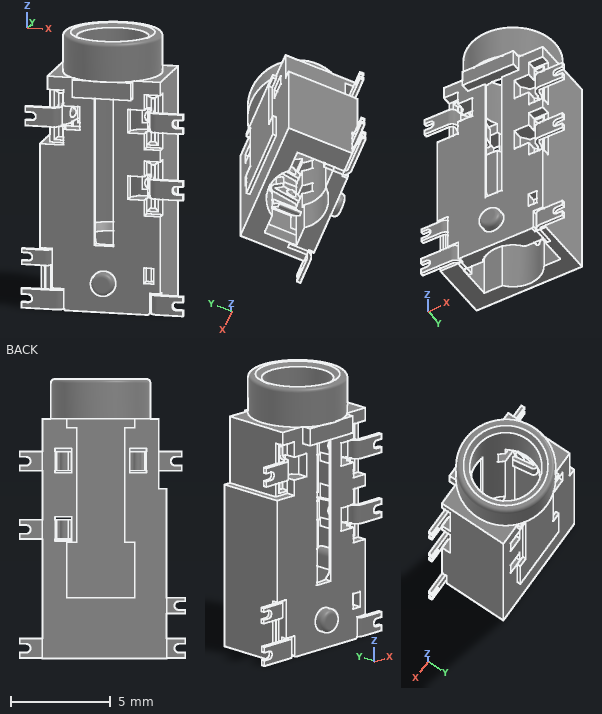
import cadquery as cq


TOTAL_HEIGHT = 14.0
BODY_TOP = 12.0
SIDE_X = 2.91
WIDE_LEFT_X = 3.3
FACE_Y = 1.88
PAD_Y = 2.4
PAD_HALF_WIDTH = 1.5
PAD_BOTTOM = 11.1
PEG_Z = 1.53
PEG_RADIUS = 0.62
PEG_ROUNDING = 0.22

SLEEVE_RADIUS = 5.0 / 2
SLEEVE_ROUNDING = 0.2
BORE_RADIUS = 1.8
MOUTH_RADIUS = 2.11
MOUTH_DEPTH = 0.2
EXIT_RADIUS = 1.55
TAPER_TOP = 3.84
SLOT_HALF_WIDTH = 0.49
SLOT_BOTTOM = 3.43

PLATE_Y = 2.06
PLATE_HALF_WIDTH = 1.7
PLATE_WAIST_HALF_WIDTH = 1.2
PLATE_BOTTOM = 3.05
WAIST_BOTTOM = 5.84
WAIST_TOP = 11.56

CHANNEL_X = 2.28
CHANNEL_TOP = 11.12
LEFT_CHANNEL_Y = (-1.05, 0.97)
RIGHT_CHANNEL_Y = (-0.91, 0.83)

SHEET = 0.2
BEND_RADIUS = 0.39
NOTCH_WIDTH = 0.42
NOTCH_DEPTH = 0.55

LEFT, RIGHT = -1, 1
UPPER_RING_Z = 9.88
LOWER_RING_Z = 6.47
RING_TERMINALS = [
    (RIGHT, UPPER_RING_Z, 0.18),
    (RIGHT, LOWER_RING_Z, 0.18),
    (LEFT, UPPER_RING_Z, -0.56),
]
RING_TIP_X = 4.06
RING_LEAF_X = CHANNEL_X
RING_TAIL_HEIGHT = 0.98
RING_LEAF_HEIGHT = 2.23
RING_LEAF_FRONT_Y = -1.25
RING_LEAF_BACK_Y = 0.7
RING_SHOULDER_FILLET = 0.21
ARM_KNEE = (2.11, -0.84)
ARM_FOLD_X = (1.95, 1.72)
ARM_FOLD_Y = 0.42
LIP_TIP_X = 1.57
DIMPLE_CENTRE = (2.06, -0.48)
DIMPLE_RADIUS = 0.28

RECESS_INNER_X = 2.09
OPENING_RAISE = 0.03
RECESS_HEIGHT = 2.81
RECESS_DEPTH = 0.5
FUNNEL_OUTER_X = 2.67
FUNNEL_HEIGHT = 2.56
FUNNEL_DEPTH = 0.17
WINDOW_HEIGHT = 1.2
WINDOW_INNER_X = 1.23
BACK_WINDOW_INNER_X = 1.45

WIDE_TOP = UPPER_RING_Z + OPENING_RAISE - RECESS_HEIGHT / 2

LOWER_LEFT_TIP_X = 4.24
LOWER_POCKET_DEPTH = 0.3
LOWER_POCKET_TOP = 1.12
POCKET_CHAMFER = 0.08
BOTTOM_LEAF_BACK_Y = -0.56
BOTTOM_TAIL_Z = (0.03, 1.02)
BOTTOM_LEFT_LEAF_X = 2.07
BOTTOM_LEFT_STEP = 0.04
BOTTOM_RIGHT_LEAF_X = 2.35
SWITCH_LEAF_X = 2.67
SWITCH_TAIL_Z = (2.25, 3.05)
SWITCH_POCKET_TOP = 3.15
SWITCH_GROOVE_OUTER_X = 3.12
SWITCH_GROOVE_DEPTH = 0.5
SWITCH_GROOVE_BOTTOM = 0.84

TIP_WIDTH_Y = (-0.63, 0.56)
TIP_LEAF_X = 2.42
TIP_LEAF_BOTTOM = 1.62
TIP_FOLD_X = 1.89
TIP_FOLD_Z = 3.99
TIP_KNEE_Z = 3.39
TIP_END_X = 1.12
TIP_END_Z = 1.4
TIP_WINDOW_X = (2.06, 2.56)
TIP_WINDOW_Z = (1.61, 2.41)
TIP_WINDOW_DEPTH = 0.5


def box(x_range, y_range, z_range):
    """Block between the given limits on each axis."""
    lows, highs = zip(*(sorted(r) for r in (x_range, y_range, z_range)))
    sizes = [high - low for low, high in zip(lows, highs)]
    return cq.Workplane("XY").box(*sizes, centered=False).translate(lows)


def on_side(body, side):
    """Keep a right-hand body, or mirror it to the left."""
    return body if side == RIGHT else body.mirror("YZ")


def around(centre, height):
    return (centre - height / 2, centre + height / 2)


def bent_blade(tip_x, leaf_x, z_range, back_y, front_y=-FACE_Y):
    """Notched solder tail along X, bent back along Y into the housing (right-hand)."""
    bottom, top = z_range
    blade = (
        cq.Workplane("XY")
        .moveTo(tip_x, front_y)
        .lineTo(leaf_x + BEND_RADIUS, front_y)
        .radiusArc((leaf_x, front_y + BEND_RADIUS), BEND_RADIUS)
        .lineTo(leaf_x, back_y)
        .lineTo(leaf_x + SHEET, back_y)
        .lineTo(leaf_x + SHEET, front_y + BEND_RADIUS)
        .radiusArc((leaf_x + BEND_RADIUS, front_y + SHEET), -(BEND_RADIUS - SHEET))
        .lineTo(tip_x, front_y + SHEET)
        .close()
        .extrude(top - bottom)
        .translate((0, 0, bottom))
    )
    notch = (
        cq.Workplane("XZ")
        .center(tip_x, (bottom + top) / 2)
        .slot2D(2 * NOTCH_DEPTH, NOTCH_WIDTH)
        .extrude(2 * FACE_Y, both=True)
    )
    return blade.cut(notch)


def ring_terminal(side, z, lip_end_y):
    """Tail, upright leaf, and an arm along the bore with a contact dimple and a folded lip."""
    tail_z = around(z, RING_TAIL_HEIGHT)
    blade = bent_blade(RING_TIP_X, RING_LEAF_X, tail_z, RING_LEAF_BACK_Y)
    leaf_x = (RING_LEAF_X, RING_LEAF_X + SHEET)
    leaf_y = (RING_LEAF_FRONT_Y, RING_LEAF_BACK_Y)
    leaf = box(leaf_x, leaf_y, around(z, RING_LEAF_HEIGHT))
    shoulder_corners = cq.selectors.BoxSelector(
        (leaf_x[0] - SHEET, leaf_y[0] - SHEET / 2, tail_z[0] - SHEET),
        (leaf_x[1] + SHEET, leaf_y[0] + SHEET / 2, tail_z[1] + SHEET),
    )
    plate = blade.union(leaf).edges("|X").edges(shoulder_corners).fillet(RING_SHOULDER_FILLET)
    fold_start_x, fold_end_x = ARM_FOLD_X
    arm = (
        cq.Workplane("XY")
        .moveTo(RING_LEAF_X + SHEET / 2, RING_LEAF_FRONT_Y)
        .lineTo(*ARM_KNEE)
        .lineTo(fold_start_x, ARM_FOLD_Y)
        .radiusArc((fold_end_x, ARM_FOLD_Y), -(fold_start_x - fold_end_x) / 2)
        .lineTo(LIP_TIP_X, lip_end_y)
        .wire()
        .offset2D(SHEET / 2)
        .extrude(RING_TAIL_HEIGHT)
        .translate((0, 0, tail_z[0]))
    )
    dimple = cq.Workplane("XY").sphere(DIMPLE_RADIUS).translate((*DIMPLE_CENTRE, z))
    dimple = dimple.intersect(box((0, DIMPLE_CENTRE[0]), (-FACE_Y, FACE_Y), tail_z))
    return on_side(plate.union(arm).union(dimple), side)


def bottom_left_terminal():
    front_y = -FACE_Y - BOTTOM_LEFT_STEP
    blade = bent_blade(
        LOWER_LEFT_TIP_X, BOTTOM_LEFT_LEAF_X, BOTTOM_TAIL_Z, BOTTOM_LEAF_BACK_Y, front_y
    )
    return on_side(blade, LEFT)


def bottom_right_terminal():
    return bent_blade(RING_TIP_X, BOTTOM_RIGHT_LEAF_X, BOTTOM_TAIL_Z, BOTTOM_LEAF_BACK_Y)


def switch_terminal():
    """Short tail above the bottom left one, with a leaf that runs down its groove."""
    blade = bent_blade(LOWER_LEFT_TIP_X, SWITCH_LEAF_X, SWITCH_TAIL_Z, BOTTOM_LEAF_BACK_Y)
    leaf = box(
        (SWITCH_LEAF_X, SWITCH_LEAF_X + SHEET),
        (SWITCH_GROOVE_DEPTH - FACE_Y, BOTTOM_LEAF_BACK_Y),
        (SWITCH_GROOVE_BOTTOM, SWITCH_TAIL_Z[1]),
    )
    return on_side(blade.union(leaf), LEFT)


def tip_spring():
    """Upright sheet folded over at the top, then leaning down into the bore."""
    spring = (
        cq.Workplane("XZ", origin=(0, TIP_WIDTH_Y[1], 0))
        .moveTo(TIP_LEAF_X, TIP_LEAF_BOTTOM + SHEET / 2)
        .lineTo(TIP_LEAF_X, TIP_FOLD_Z)
        .radiusArc((TIP_FOLD_X, TIP_FOLD_Z), -(TIP_LEAF_X - TIP_FOLD_X) / 2)
        .lineTo(TIP_FOLD_X, TIP_KNEE_Z)
        .lineTo(TIP_END_X, TIP_END_Z)
        .wire()
        .offset2D(SHEET / 2)
        .extrude(TIP_WIDTH_Y[1] - TIP_WIDTH_Y[0])
    )
    foot = box(
        (TIP_LEAF_X - SHEET / 2, TIP_LEAF_X + SHEET / 2),
        (TIP_WINDOW_DEPTH - FACE_Y, TIP_WIDTH_Y[1]),
        (TIP_LEAF_BOTTOM, TIP_WINDOW_Z[1]),
    )
    return spring.union(foot)


def housing_block():
    """Block, wider lower left part, front pad, back plate, sleeve and peg."""
    depth = (-FACE_Y, FACE_Y)
    block = box((-SIDE_X, SIDE_X), depth, (0, BODY_TOP))
    block = block.union(box((-WIDE_LEFT_X, 0), depth, (0, WIDE_TOP)))
    block = block.union(
        box((-PAD_HALF_WIDTH, PAD_HALF_WIDTH), (-PAD_Y, 0), (PAD_BOTTOM, BODY_TOP))
    )
    plate_parts = [
        (PLATE_HALF_WIDTH, PLATE_BOTTOM, WAIST_BOTTOM),
        (PLATE_WAIST_HALF_WIDTH, WAIST_BOTTOM, WAIST_TOP),
        (PLATE_HALF_WIDTH, WAIST_TOP, BODY_TOP),
    ]
    for half_width, bottom, top in plate_parts:
        block = block.union(box((-half_width, half_width), (0, PLATE_Y), (bottom, top)))
    sleeve = (
        cq.Workplane("XY", origin=(0, 0, BODY_TOP))
        .circle(SLEEVE_RADIUS)
        .extrude(TOTAL_HEIGHT - BODY_TOP)
        .faces(">Z")
        .edges()
        .fillet(SLEEVE_ROUNDING)
    )
    peg = (
        cq.Workplane("XZ", origin=(0, -FACE_Y, PEG_Z))
        .circle(PEG_RADIUS)
        .extrude(PAD_Y - FACE_Y)
        .faces("<Y")
        .edges()
        .fillet(PEG_ROUNDING)
    )
    return block.union(sleeve).union(peg)


def plug_bore():
    """Stepped bore through the full height, with its flared mouth and lower taper."""
    return (
        cq.Workplane("XZ")
        .polyline([
            (0, 0),
            (EXIT_RADIUS, 0),
            (EXIT_RADIUS, SLOT_BOTTOM),
            (BORE_RADIUS, TAPER_TOP),
            (BORE_RADIUS, TOTAL_HEIGHT - MOUTH_DEPTH),
            (MOUTH_RADIUS, TOTAL_HEIGHT),
            (0, TOTAL_HEIGHT),
        ])
        .close()
        .revolve(360, (0, 0, 0), (0, 1, 0))
    )


def ring_opening(side, z):
    """Stepped recess, funnel for the leaf, and the window that the arm passes through."""
    z += OPENING_RAISE
    floor_y = RECESS_DEPTH - FACE_Y
    recess = box((RECESS_INNER_X, SIDE_X), (-FACE_Y, floor_y), around(z, RECESS_HEIGHT))
    leaf_centre = RING_LEAF_X + SHEET / 2
    funnel = (
        cq.Workplane("XZ", origin=(0, floor_y, z))
        .center((RECESS_INNER_X + FUNNEL_OUTER_X) / 2, 0)
        .rect(FUNNEL_OUTER_X - RECESS_INNER_X, FUNNEL_HEIGHT)
        .workplane(offset=-FUNNEL_DEPTH)
        .center(leaf_centre - (RECESS_INNER_X + FUNNEL_OUTER_X) / 2, 0)
        .rect(SHEET, RING_LEAF_HEIGHT)
        .loft(ruled=True)
    )
    window_z = around(z, WINDOW_HEIGHT)
    front_window = box((WINDOW_INNER_X, CHANNEL_X), (-FACE_Y, 0), window_z)
    back_window = box((BACK_WINDOW_INNER_X, CHANNEL_X), (0, FACE_Y), window_z)
    return on_side(recess.union(funnel).union(front_window).union(back_window), side)


def bottom_pocket(side, inner_x, outer_x):
    """Pocket open to the bottom, with a chamfered lower inner corner."""
    pocket = (
        cq.Workplane("XZ", origin=(0, -FACE_Y, 0))
        .polyline([
            (inner_x - POCKET_CHAMFER, 0),
            (inner_x, POCKET_CHAMFER),
            (inner_x, LOWER_POCKET_TOP),
            (outer_x, LOWER_POCKET_TOP),
            (outer_x, 0),
        ])
        .close()
        .extrude(-LOWER_POCKET_DEPTH)
    )
    return on_side(pocket, side)


def switch_pocket():
    """Shallow pocket on the lower left edge with a deeper groove along the leaf."""
    pocket = box(
        (-WIDE_LEFT_X, -SWITCH_LEAF_X),
        (-FACE_Y, LOWER_POCKET_DEPTH - FACE_Y),
        (LOWER_POCKET_TOP, SWITCH_POCKET_TOP),
    )
    groove = box(
        (-SWITCH_GROOVE_OUTER_X, -SWITCH_LEAF_X),
        (-FACE_Y, SWITCH_GROOVE_DEPTH - FACE_Y),
        (SWITCH_GROOVE_BOTTOM, SWITCH_POCKET_TOP),
    )
    return pocket.union(groove)


def make_housing(contacts):
    """Block with all its openings, and a matching seat for every contact."""
    body = housing_block().cut(plug_bore())
    body = body.cut(
        box((-SLOT_HALF_WIDTH, SLOT_HALF_WIDTH), (-FACE_Y, 0), (SLOT_BOTTOM, PAD_BOTTOM))
    )
    body = body.cut(box((-CHANNEL_X, 0), LEFT_CHANNEL_Y, (0, CHANNEL_TOP)))
    body = body.cut(box((0, CHANNEL_X), RIGHT_CHANNEL_Y, (0, CHANNEL_TOP)))
    for side, z, _ in RING_TERMINALS:
        body = body.cut(ring_opening(side, z))
    body = body.cut(bottom_pocket(LEFT, BOTTOM_LEFT_LEAF_X, WIDE_LEFT_X))
    body = body.cut(bottom_pocket(RIGHT, BOTTOM_RIGHT_LEAF_X, SIDE_X))
    body = body.cut(switch_pocket())
    body = body.cut(box(TIP_WINDOW_X, (-FACE_Y, TIP_WINDOW_DEPTH - FACE_Y), TIP_WINDOW_Z))
    for contact in contacts:
        body = body.cut(contact)
    return body


contacts = [ring_terminal(*terminal) for terminal in RING_TERMINALS]
contacts += [switch_terminal(), bottom_left_terminal(), bottom_right_terminal(), tip_spring()]
housing = make_housing(contacts)

bodies = [housing, *contacts]
result = cq.Compound.makeCompound([body.solids().val() for body in bodies])